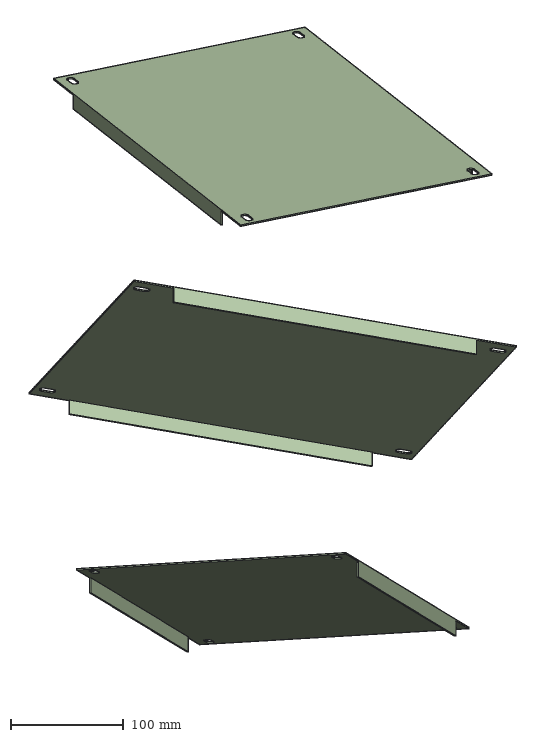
import cadquery as cq

length = 365.0
width = 250.0
height = 15.0
sheet = 1.5

flange_length = 289.0

slot_length = 15.0
slot_width = 7.0
slot_spacing_x = 340.0
slot_spacing_y = 225.0


def make_panel():
    """Flat sheet with its top face at Z = height."""
    return cq.Workplane("XY").box(length, width, sheet, centered=(True, True, False)).translate(
        (0, 0, height - sheet)
    )


def make_flange(side):
    """Flange flush with the long edge on the given side (-1 or 1) of the panel."""
    center_y = side * (width - sheet) / 2
    return (
        cq.Workplane("XY")
        .center(0, center_y)
        .box(flange_length, sheet, height, centered=(True, True, False))
    )


def make_slots():
    """Cutters for the four corner slots, elongated along X."""
    return (
        cq.Workplane("XY")
        .rarray(slot_spacing_x, slot_spacing_y, 2, 2)
        .slot2D(slot_length, slot_width)
        .extrude(height)
    )


result = make_panel().cut(make_slots())
for side in (-1, 1):
    result = result.union(make_flange(side))